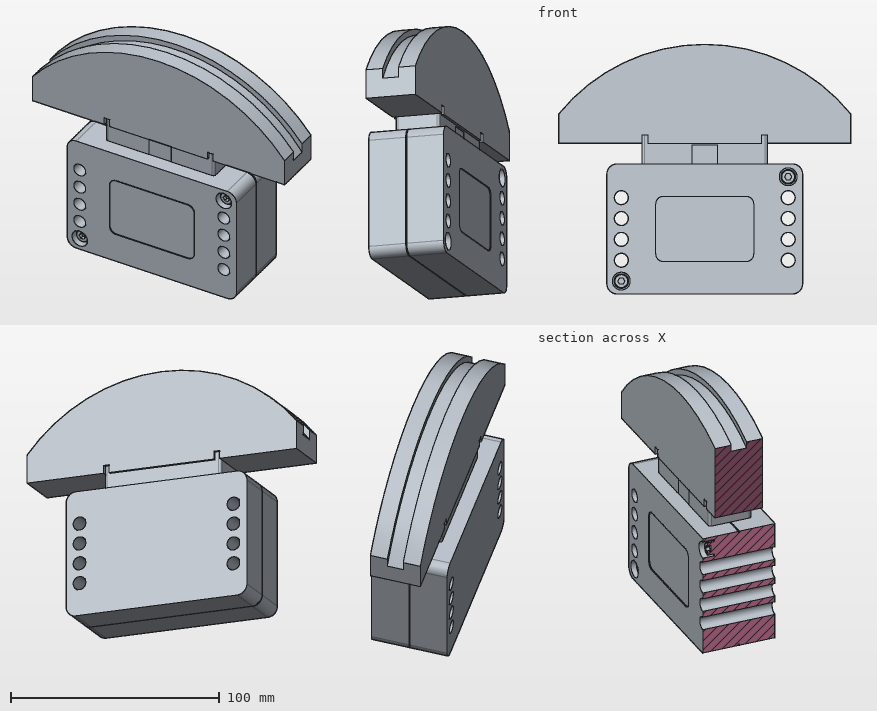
import cadquery as cq
import math


housing_width = 94.0
housing_depth = 38.0
housing_height = 62.5
housing_corner_radius = 5.0
housing_mid_z = housing_height / 2

seam_width = 0.4
seam_depth = 0.7

label_width = housing_width / 2
label_height = housing_height / 2
label_corner_radius = 3.6
label_depth = 0.5

column_spacing = 80.0
holes_per_column = 4
mounting_hole_diameter = 6.6
screw_span = 50.0
hole_pitch = screw_span / (holes_per_column + 1)

counterbore_diameter = 8.5
counterbore_depth = 6.0
head_diameter = 7.0
head_height = 3.6
head_chamfer = 0.4
socket_across_flats = 3.0
socket_depth = 2.0

shoe_length = 140.0
shoe_depth = 25.0
shoe_total_height = 119.7
shoe_bottom_z = 72.2
shoe_arc_radius = 90.0
groove_width = 8.0
groove_depth = 3.0

slider_width = 60.3
slider_depth = 22.3
slider_corner_radius = 1.3
slider_engagement = 3.9
slider_top_z = shoe_bottom_z + slider_engagement
slot_width = 3.0

panel_width = 12.3
panel_gap_to_shoe = 0.8
panel_depth = 0.1


def box_between(width, depth, bottom_z, top_z):
    """Block centred on X = 0 and Y = 0, between two heights."""
    height = top_z - bottom_z
    block = cq.Workplane("XY").box(width, depth, height, centered=(True, True, False))
    return block.translate((0, 0, bottom_z))


def front_plane(x, y, z):
    """Workplane facing the front (-Y), with local X and Y along X and Z."""
    return cq.Workplane("XZ", origin=(x, y, z))


def seam_groove():
    """Ring that cuts the seam groove into the four outer sides of the housing."""
    inner_width = housing_width - 2 * seam_depth
    inner_height = housing_height - 2 * seam_depth
    plane = front_plane(0, seam_width / 2, housing_mid_z)
    outer = plane.rect(housing_width, housing_height).extrude(seam_width)
    inner = plane.rect(inner_width, inner_height).extrude(seam_width)
    inner = inner.edges("|Y").fillet(housing_corner_radius - seam_depth)
    return outer.cut(inner)


def label_recess():
    """Rounded block that cuts the label recess."""
    plane = front_plane(0, label_depth - housing_depth / 2, housing_mid_z)
    block = plane.rect(label_width, label_height).extrude(label_depth)
    return block.edges("|Y").fillet(label_corner_radius)


def mounting_holes():
    """Cylinders that cut both columns of through holes."""
    plane = front_plane(0, housing_depth / 2, housing_mid_z)
    plane = plane.rarray(column_spacing, hole_pitch, 2, holes_per_column)
    return plane.circle(mounting_hole_diameter / 2).extrude(housing_depth)


def screw_pocket(x, z):
    """Ring and socket that cut a counterbore and leave the screw head on its floor."""
    floor_y = counterbore_depth - housing_depth / 2
    counterbore = front_plane(x, floor_y, z).circle(counterbore_diameter / 2).extrude(counterbore_depth)
    head = front_plane(x, floor_y, z).circle(head_diameter / 2).extrude(head_height)
    head = head.faces("<Y").chamfer(head_chamfer)
    socket_diameter = socket_across_flats / math.cos(math.pi / 6)
    socket_floor_y = floor_y - head_height + socket_depth
    socket = front_plane(x, socket_floor_y, z).polygon(6, socket_diameter).extrude(socket_depth)
    return counterbore.cut(head).union(socket)


def make_housing():
    """Rounded housing with its seam, label recess, mounting holes and screws."""
    housing = box_between(housing_width, housing_depth, 0, housing_height)
    housing = housing.edges("|Y").fillet(housing_corner_radius)
    housing = housing.cut(seam_groove()).cut(label_recess()).cut(mounting_holes())
    for side in (-1, 1):
        screw_z = housing_mid_z + side * screw_span / 2
        housing = housing.cut(screw_pocket(side * column_spacing / 2, screw_z))
    return housing


def make_slider():
    """Rounded bar from the housing's top face up into the shoe."""
    slider = box_between(slider_width, slider_depth, housing_height, slider_top_z)
    slider = slider.edges("|Z").fillet(slider_corner_radius)
    panel = box_between(panel_width, panel_depth, housing_height, shoe_bottom_z - panel_gap_to_shoe)
    return slider.cut(panel.translate((0, (panel_depth - slider_depth) / 2, 0)))


def arch(radius, depth):
    """Full-length block with a flat bottom and an arc on top, about the shoe's arc centre."""
    half_length = shoe_length / 2
    arc_centre_z = shoe_total_height - shoe_arc_radius
    end_z = arc_centre_z + math.sqrt(radius**2 - half_length**2)
    profile = (
        front_plane(0, depth / 2, 0)
        .moveTo(-half_length, shoe_bottom_z)
        .lineTo(half_length, shoe_bottom_z)
        .lineTo(half_length, end_z)
        .threePointArc((0, arc_centre_z + radius), (-half_length, end_z))
        .close()
    )
    return profile.extrude(depth)


def make_shoe():
    """Arched shoe with a groove along its arc and a pocket for the slider."""
    groove = arch(shoe_arc_radius, groove_width).cut(arch(shoe_arc_radius - groove_depth, groove_width))
    shoe = arch(shoe_arc_radius, shoe_depth).cut(groove)
    shoe = shoe.cut(box_between(slider_width, slider_depth, shoe_bottom_z, slider_top_z))
    slot = box_between(slot_width, shoe_depth, shoe_bottom_z, slider_top_z)
    for side in (-1, 1):
        shoe = shoe.cut(slot.translate((side * (slider_width - slot_width) / 2, 0, 0)))
    return shoe


housing = make_housing()
slider = make_slider()
shoe = make_shoe()

result = cq.Compound.makeCompound([housing.solids().val(), slider.solids().val(), shoe.solids().val()])